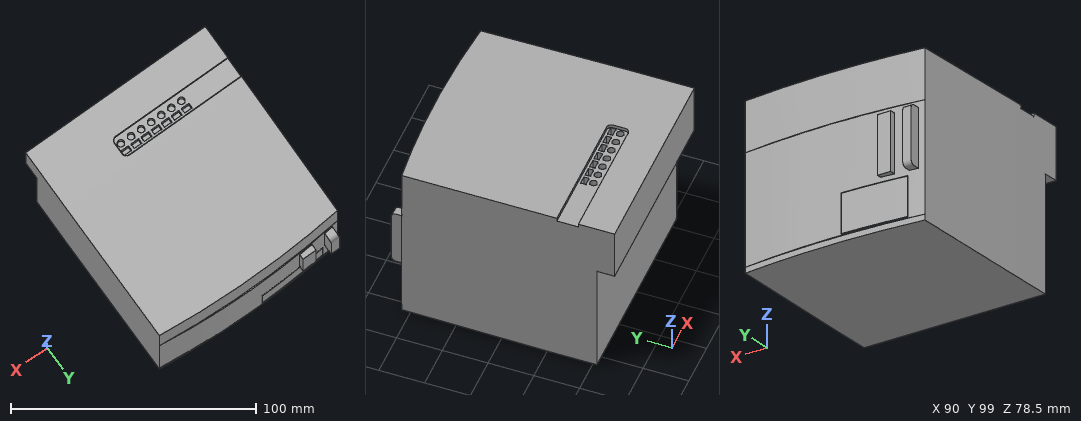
import cadquery as cq
import math

WIDTH = 90.0
DEPTH = 99.0
HEIGHT = 78.5

FRONT_DEPTH = 28.1
OVERHANG = 7.7
LEDGE_HEIGHT = 54.2

CORNER_Y = 93.3
CROWN_Y = 95.7
TAPER = 0.4
taper_angle = math.degrees(math.atan(TAPER / (CORNER_Y - FRONT_DEPTH)))

PANEL_BOTTOM = 3.1
PANEL_TOP = 54.6
PANEL_CROWN_Y = 96.2

WINDOW_BOTTOM = 3.8
WINDOW_TOP = 22.2
WINDOW_LEFT = -36.6
WINDOW_RIGHT = -4.95
WINDOW_DEPTH = 0.4

TAB_BOTTOM = 24.4
TAB_TOP = 51.7
TAB_ROUND = 2.2
LONG_TAB_X = -39.6
LONG_TAB_WIDTH = 4.2
SHORT_TAB_X = -27.4
SHORT_TAB_WIDTH = 6.5
SHORT_TAB_END = 97.7
TAB_EMBEDDING = 2.0
TAB_ROOT_Y = CORNER_Y - TAB_EMBEDDING

RECESS_FRONT = 15.8
RECESS_BACK = 25.2
RECESS_END_X = 13.2
RECESS_DEPTH = 1.6
RECESS_ROUND = 2.0

TERMINAL_COUNT = 7
TERMINAL_PITCH = 5.0
LAST_TERMINAL_X = 11.0
SOCKET_Y = 23.0
SOCKET_LENGTH = 3.8
SOCKET_WIDTH = 2.3
HOLE_Y = 19.2
HOLE_DIAMETER = 3.1
TERMINAL_DEPTH = 4.0


def box(x_range, y_range, z_range):
    """Box between the given limits on each axis."""
    limits = (x_range, y_range, z_range)
    sizes = [high - low for low, high in limits]
    corner = [low for low, high in limits]
    return cq.Workplane("XY").box(*sizes, centered=False).translate(tuple(corner))


def bowed_prism(crown_y, bottom, top):
    """Upright prism from the front section to the bowed back, as wide as the part."""
    half = WIDTH / 2
    return (
        cq.Workplane("XY", origin=(0, 0, bottom))
        .moveTo(-half, FRONT_DEPTH)
        .lineTo(-half, CORNER_Y)
        .threePointArc((0, crown_y), (half, CORNER_Y))
        .lineTo(half, FRONT_DEPTH)
        .close()
        .extrude(top - bottom)
    )


def front_section():
    half = WIDTH / 2
    block = box((-half, half), (0, FRONT_DEPTH), (0, HEIGHT))
    return block.cut(box((-half, half), (0, OVERHANG), (0, LEDGE_HEIGHT)))


def tapered_block():
    """Straight-backed block that narrows from the front section towards the back."""
    return (
        cq.Workplane("XZ", origin=(0, FRONT_DEPTH, HEIGHT / 2))
        .rect(WIDTH, HEIGHT)
        .extrude(FRONT_DEPTH - DEPTH, taper=taper_angle)
    )


def rear_housing():
    housing = bowed_prism(CROWN_Y, 0, HEIGHT)
    panel = bowed_prism(PANEL_CROWN_Y, PANEL_BOTTOM, PANEL_TOP)
    return tapered_block().intersect(housing.union(panel))


def back_window():
    """Thin layer of the panel's back, following its bow."""
    window = box((WINDOW_LEFT, WINDOW_RIGHT), (FRONT_DEPTH, DEPTH), (WINDOW_BOTTOM, WINDOW_TOP))
    panel = bowed_prism(PANEL_CROWN_Y, PANEL_BOTTOM, PANEL_TOP)
    return window.cut(panel.translate((0, -WINDOW_DEPTH, 0)))


def tab(centre_x, width, end_y):
    """Upright square-edged tab standing out of the back."""
    x_range = (centre_x - width / 2, centre_x + width / 2)
    return box(x_range, (TAB_ROOT_Y, end_y), (TAB_BOTTOM, TAB_TOP))


def rounded_tab(centre_x, width, end_y):
    """Tab with its upper and lower outer corners rounded."""
    return tab(centre_x, width, end_y).faces(">Y").edges("|X").fillet(TAB_ROUND)


def terminal_recess():
    floor = HEIGHT - RECESS_DEPTH
    pocket = box((-WIDTH / 2, RECESS_END_X), (RECESS_FRONT, RECESS_BACK), (floor, HEIGHT))
    return pocket.faces(">X").edges("|Z").fillet(RECESS_ROUND)


def terminals():
    first_x = LAST_TERMINAL_X - (TERMINAL_COUNT - 1) * TERMINAL_PITCH
    columns = [first_x + i * TERMINAL_PITCH for i in range(TERMINAL_COUNT)]
    floor = cq.Workplane("XY", origin=(0, 0, HEIGHT - RECESS_DEPTH))
    sockets = (
        floor.pushPoints([(x, SOCKET_Y) for x in columns])
        .rect(SOCKET_LENGTH, SOCKET_WIDTH)
        .extrude(-TERMINAL_DEPTH)
    )
    holes = (
        floor.pushPoints([(x, HOLE_Y) for x in columns])
        .circle(HOLE_DIAMETER / 2)
        .extrude(-TERMINAL_DEPTH)
    )
    return sockets.union(holes)


result = (
    front_section()
    .union(rear_housing())
    .cut(back_window())
    .union(rounded_tab(LONG_TAB_X, LONG_TAB_WIDTH, DEPTH))
    .union(tab(SHORT_TAB_X, SHORT_TAB_WIDTH, SHORT_TAB_END))
    .cut(terminal_recess())
    .cut(terminals())
)